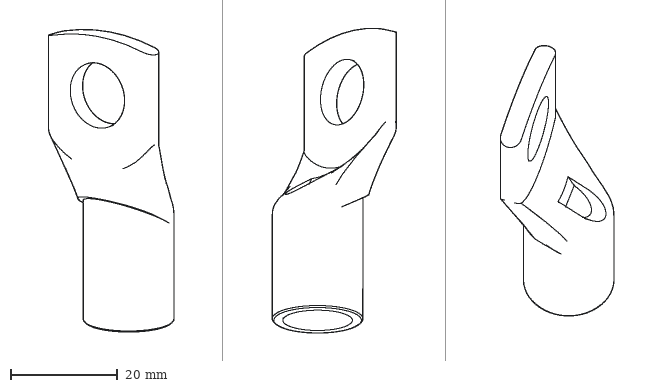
import cadquery as cq
import math


barrel_radius = 17.0 / 2
bore_radius = 13.0 / 2
barrel_height = 20.0
end_chamfer = 0.3

palm_width = 24.5
palm_thickness = 4.0
palm_front = -10.0
palm_mid = palm_front + palm_thickness / 2
overall_height = 57.26
palm_top_radius = 38.5
hole_diameter = 12.5
hole_z = 45.8
palm_foot_radius = 14.5

ledge_start = 1.2
ledge_front = -9.1
ledge_front_z = 25.5
ledge_slope = (ledge_front_z - barrel_height) / (ledge_start - ledge_front)
front_seam_y = -2.6
back_seam_y = 3.5
upper_ring = (0.45, (8.85, -0.3, 28.4), (0.0, 2.2, 26.6), (10.25, -4.0, 28.2))
lower_ring = (0.77, (8.05, 2.6, 23.6), (0.0, 7.1, 23.4), (8.75, -0.3, 23.0))

slot_width = 6.0
slot_floor = 23.3
slot_end_low = (0.1, 26.3)
slot_end_high = (-1.15, 28.7)
cavity_rim = (bore_radius, 21.8)


def ledge_z(y):
    """Height of the climbing ledge plane at a given Y."""
    return barrel_height + (ledge_start - y) * ledge_slope


def between(start, end, fraction):
    """Point part way along a straight line."""
    return tuple(a + (b - a) * fraction for a, b in zip(start, end))


def ring(front, front_seam, side, back_seam, back):
    """Closed ring of four arcs, symmetric about X = 0."""

    def arc(*points):
        return cq.Edge.makeThreePointArc(*[cq.Vector(*point) for point in points])

    def mirrored(point):
        return (-point[0], point[1], point[2])

    arcs = [
        arc(mirrored(front_seam), front, front_seam),
        arc(front_seam, side, back_seam),
        arc(back_seam, back, mirrored(back_seam)),
        arc(mirrored(back_seam), mirrored(side), mirrored(front_seam)),
    ]
    return cq.Wire.assembleEdges(arcs)


def make_palm():
    """Full-round-edged plate with an arched top and an arched foot."""
    plate = (
        cq.Workplane("XY")
        .center(0, palm_mid)
        .slot2D(palm_width, palm_thickness)
        .extrude(overall_height)
    )
    top_disc = (
        cq.Workplane("XZ")
        .center(0, overall_height - palm_top_radius)
        .circle(palm_top_radius)
        .extrude(palm_width, both=True)
    )
    foot_disc = (
        cq.Workplane("XZ")
        .moveTo(-palm_foot_radius, overall_height)
        .lineTo(-palm_foot_radius, hole_z)
        .threePointArc((0, hole_z - palm_foot_radius), (palm_foot_radius, hole_z))
        .lineTo(palm_foot_radius, overall_height)
        .close()
        .extrude(palm_width, both=True)
    )
    return plate.intersect(top_disc).intersect(foot_disc)


def make_neck(palm):
    """Skin between the foot of the palm and the barrel, trimmed below by the climbing ledge."""
    foot_point = (0, palm_mid, hole_z - palm_foot_radius)
    foot = palm.faces(cq.selectors.NearestToPointSelector(foot_point)).val()
    seam_top_x = palm_width / 2 - palm_thickness / 2
    seam_top_z = hole_z - math.sqrt(palm_foot_radius**2 - seam_top_x**2)
    front_top = (0, palm_front, hole_z - palm_foot_radius)
    front_seam_top = (seam_top_x, palm_front, seam_top_z)

    front_seam_x = math.sqrt(barrel_radius**2 - front_seam_y**2)
    back_seam_x = math.sqrt(barrel_radius**2 - back_seam_y**2)
    front_low = (0, -barrel_radius, barrel_height)
    front_seam_low = (front_seam_x, front_seam_y, barrel_height)
    side_low = (barrel_radius, 0, barrel_height)
    back_seam_low = (back_seam_x, back_seam_y, barrel_height)
    back_low = (0, barrel_radius, barrel_height)

    rings = [foot.outerWire()]
    for fraction, back_seam, back, side in (upper_ring, lower_ring):
        front = between(front_top, front_low, fraction)
        front_seam = between(front_seam_top, front_seam_low, fraction)
        rings.append(ring(front, front_seam, side, back_seam, back))
    barrel_ring = ring(front_low, front_seam_low, side_low, back_seam_low, back_low)
    rings.append(barrel_ring)

    skin = cq.occ_impl.shapes.loft(rings)
    shell = cq.Shell.makeShell([foot, *skin.Faces(), cq.Face.makeFromWires(barrel_ring)])
    neck = cq.Workplane(cq.Solid.makeSolid(shell))

    reach = 2 * barrel_radius
    below_ledge = (
        cq.Workplane("YZ")
        .polyline([(ledge_start, barrel_height), (-reach, barrel_height), (-reach, ledge_z(-reach))])
        .close()
        .extrude(palm_width, both=True)
    )
    return neck.cut(below_ledge)


def make_barrel():
    """Barrel whose top follows the underside of the neck."""
    side = (
        cq.Workplane("YZ")
        .polyline(
            [
                (barrel_radius, 0),
                (barrel_radius, barrel_height),
                (ledge_start, barrel_height),
                (-barrel_radius, ledge_z(-barrel_radius)),
                (-barrel_radius, 0),
            ]
        )
        .close()
        .extrude(barrel_radius, both=True)
    )
    post = cq.Workplane("XY").circle(barrel_radius).extrude(overall_height)
    return post.faces("<Z").chamfer(end_chamfer).intersect(side)


def make_cavity():
    """Bore closed by a sloped roof behind and a flat roof in front."""
    side = (
        cq.Workplane("YZ")
        .polyline(
            [
                (bore_radius, 0),
                cavity_rim,
                slot_end_low,
                (-bore_radius, slot_end_low[1]),
                (-bore_radius, 0),
            ]
        )
        .close()
        .extrude(bore_radius, both=True)
    )
    return cq.Workplane("XY").circle(bore_radius).extrude(overall_height).intersect(side)


def make_slot():
    """Round-bottomed groove along Y, stopped by a sloped end wall."""
    radius = slot_width / 2
    groove = (
        cq.Workplane("XZ")
        .moveTo(-radius, overall_height)
        .lineTo(-radius, slot_floor + radius)
        .threePointArc((0, slot_floor), (radius, slot_floor + radius))
        .lineTo(radius, overall_height)
        .close()
        .extrude(palm_width, both=True)
    )
    past_neck = between(slot_end_low, slot_end_high, 2)
    side = (
        cq.Workplane("YZ")
        .polyline(
            [
                (slot_end_low[0], 0),
                slot_end_low,
                past_neck,
                (palm_width, past_neck[1]),
                (palm_width, 0),
            ]
        )
        .close()
        .extrude(radius, both=True)
    )
    return groove.intersect(side)


def make_hole():
    """Bolt hole through the palm."""
    return (
        cq.Workplane("XZ")
        .center(0, hole_z)
        .circle(hole_diameter / 2)
        .extrude(palm_width, both=True)
    )


palm = make_palm()
body = palm.cut(make_hole()).union(make_neck(palm)).union(make_barrel())
result = body.cut(make_cavity()).cut(make_slot())